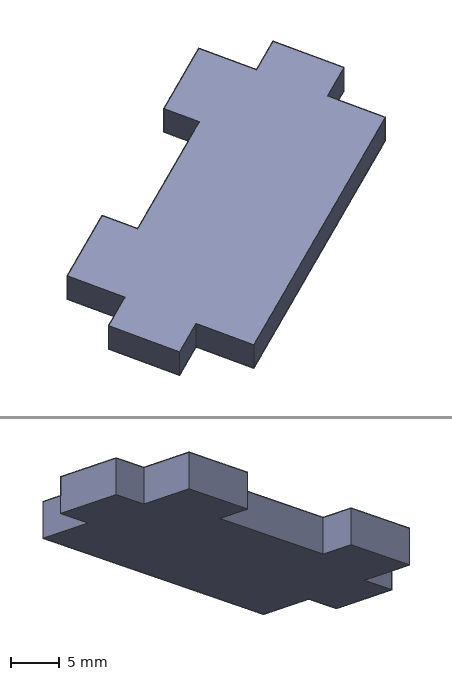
import cadquery as cq

plate_width = 21.0
total_length = 40.0
thickness = 4.0

tab_width = 8.0
tab_length = 4.0
plate_length = total_length - 2 * tab_length

notch_length = 15.0
notch_depth = 4.0


def block(width, length):
    """Full-thickness block centred in X and Y, standing on Z = 0."""
    return cq.Workplane("XY").box(width, length, thickness, centered=(True, True, False))


plate = block(plate_width, plate_length)

tabs = block(tab_width, total_length)

notch_center_x = (notch_depth - plate_width) / 2
notch = block(notch_depth, notch_length).translate((notch_center_x, 0, 0))

result = plate.union(tabs).cut(notch)